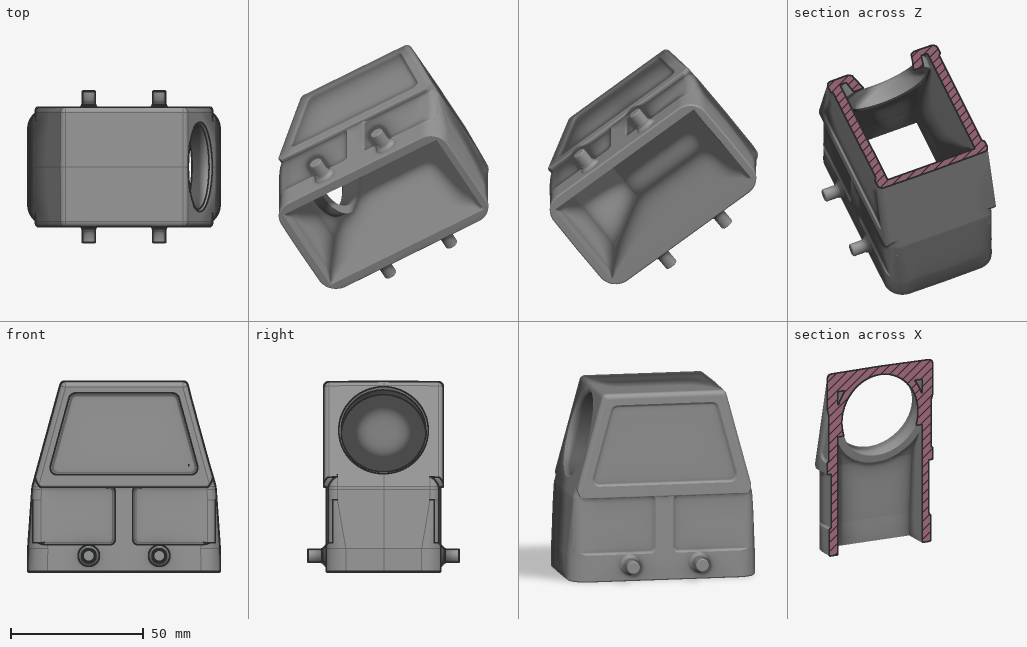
import cadquery as cq
import math

TOTAL_HEIGHT = 72.0
ROOF_HALF_X = 23.7
END_SLOPE = math.radians(15.3)
HOOD_HALF_Y = 22.5
HOOD_BOTTOM_Z = 31.9
DRAFT_DEG = 0.5
HOOD_FILLET = 2.0
HOOD_RIM_FILLET = 0.5

NOTCH_START_X = 31.2
NOTCH_TOP_Z = 36.4
NOTCH_MID = (32.75, 33.9)

BASE_HALF_X = 36.3
BAND_TOP_HALF_X = 36.2
BASE_HALF_Y = 21.6
BAND_Z = 9.2
BASE_CHAMFER = 0.5
BASE_FLAT_Y = 14.3
NECK_FLAT_Y = 17.4
NECK_Z = 27.4
BEND_LOW_Z = 31.4
BEND_HIGH_Z = 32.4
BEND_LOW_HALF_X = 34.65
NECK_OVERLAP = 0.3

PANEL_DEPTH = 0.8
CORE_HALF_Y = BASE_HALF_Y - PANEL_DEPTH
PILLAR_HALF_X = 3.3
PANEL_BOTTOM_Z = 10.35
SILL_Z = PANEL_BOTTOM_Z + PANEL_DEPTH
PANEL_CORNER = 2.2
PANEL_OUTER_X = BASE_HALF_X + 5.0
CORNER_CUT_X = 30.0
CORNER_CUT_Y = 19.1

LABEL_TOP_Z = 67.6
LABEL_BOTTOM_Z = 36.7
LABEL_TOP_HALF_X = 20.2
LABEL_DEPTH = 0.8
LABEL_CORNER = 2.8

FIELD_FLOOR_FILLET = 0.6

PIN_X = 13.25
PIN_Z = 6.3
PIN_RADIUS = 2.45
PIN_TIP_Y = 28.6
PIN_CHAMFER = 0.3
PIN_FOOT_RADIUS = 4.0
PIN_COLLAR_RADIUS = 2.7
PIN_CONE_TOP_Y = 22.9
PIN_COLLAR_TOP_Y = 23.3

ENTRY_X = 28.75
ENTRY_DIAMETER = 32.0
ENTRY_CHAMFER = 1.0
ENTRY_DEPTH = 7.7
ENTRY_BOSS_DIAMETER = 38.0

WALL = 3.0
OVERLAP = 1.0


def slope_half_x(z):
    """Half length of the hood at height z, measured at the parting plane."""
    return ROOF_HALF_X + (TOTAL_HEIGHT - z) * math.tan(END_SLOPE)


def skirt_end_half_x(z):
    """Half length of the skirt between the base band and the bend."""
    rise = (z - BAND_Z) / (BEND_LOW_Z - BAND_Z)
    return BAND_TOP_HALF_X + rise * (BEND_LOW_HALF_X - BAND_TOP_HALF_X)


def skirt_wire(z, half_x, half_y, flat_y):
    """Rounded rectangle at height z; its end lines are bent slightly at Y = 0."""
    radius = half_y - flat_y
    draft = flat_y * math.tan(math.radians(DRAFT_DEG)) / math.cos(END_SLOPE)
    end_x = half_x - draft
    side_x = end_x - radius
    diagonal = radius * math.sqrt(0.5)
    mid_x = side_x + diagonal
    mid_y = flat_y + diagonal
    outline = (
        cq.Workplane("XY", origin=(0, 0, z))
        .moveTo(half_x, 0)
        .lineTo(end_x, flat_y)
        .threePointArc((mid_x, mid_y), (side_x, half_y))
        .lineTo(-side_x, half_y)
        .threePointArc((-mid_x, mid_y), (-end_x, flat_y))
        .lineTo(-half_x, 0)
        .lineTo(-end_x, -flat_y)
        .threePointArc((-mid_x, -mid_y), (-side_x, -half_y))
        .lineTo(side_x, -half_y)
        .threePointArc((mid_x, -mid_y), (end_x, -flat_y))
        .close()
    )
    return outline.val()


def ruled_skirt(*sections):
    """Straight-ruled solid through (z, half_x, half_y, flat_y) sections."""
    wires = [skirt_wire(*section) for section in sections]
    return cq.Workplane(cq.Solid.makeLoft(wires, True))


def mirror_x(solid):
    return solid.union(solid.mirror("YZ"))


def mirror_y(solid):
    return solid.union(solid.mirror("XZ"))


def make_hood():
    """Drafted trapezoid block, built as its -Y half and mirrored."""
    bottom_half_x = slope_half_x(HOOD_BOTTOM_Z)
    outline = [
        (-bottom_half_x, HOOD_BOTTOM_Z),
        (bottom_half_x, HOOD_BOTTOM_Z),
        (ROOF_HALF_X, TOTAL_HEIGHT),
        (-ROOF_HALF_X, TOTAL_HEIGHT),
    ]
    half = cq.Workplane("XZ").polyline(outline).close().extrude(HOOD_HALF_Y, taper=DRAFT_DEG)
    above_bottom = cq.selectors.BoxSelector(
        (-BASE_HALF_X, -PIN_TIP_Y, HOOD_BOTTOM_Z + OVERLAP),
        (BASE_HALF_X, -OVERLAP, TOTAL_HEIGHT + OVERLAP),
    )
    half = half.edges(above_bottom).fillet(HOOD_FILLET)
    half = half.faces("<Z").edges("<Y").fillet(HOOD_RIM_FILLET)
    return mirror_y(half)


def make_notch():
    """Cutter for the curved underside of the hood's +X corners."""
    notch_end_x = slope_half_x(NOTCH_TOP_Z)
    below_z = HOOD_BOTTOM_Z - OVERLAP
    return (
        cq.Workplane("XZ")
        .moveTo(NOTCH_START_X, below_z)
        .lineTo(NOTCH_START_X, HOOD_BOTTOM_Z)
        .threePointArc(NOTCH_MID, (notch_end_x, NOTCH_TOP_Z))
        .lineTo(PANEL_OUTER_X, NOTCH_TOP_Z)
        .lineTo(PANEL_OUTER_X, below_z)
        .close()
        .extrude(HOOD_HALF_Y + OVERLAP, both=True)
    )


def sunken_field(points, depth, corner, face_y):
    """Cutter on the -Y side: rounded outline at face_y, walls sloping in at 45 degrees to a filleted floor."""
    blank = cq.Workplane("XZ").polyline(points).close().extrude(depth)
    outline = blank.edges("|Y").fillet(corner).faces("<Y").wires().val()
    inward = cq.Workplane(cq.Plane(origin=(0, -face_y, 0), xDir=(1, 0, 0), normal=(0, 1, 0)))
    outline = outline.translate(cq.Vector(0, depth - face_y, 0))
    field = inward.add(outline).toPending().extrude(depth, taper=45)
    return field.faces(">Y").edges().fillet(FIELD_FLOOR_FILLET)


def make_label_fields():
    label_bottom_half_x = LABEL_TOP_HALF_X + (LABEL_TOP_Z - LABEL_BOTTOM_Z) * math.tan(END_SLOPE)
    outline = [
        (-label_bottom_half_x, LABEL_BOTTOM_Z),
        (label_bottom_half_x, LABEL_BOTTOM_Z),
        (LABEL_TOP_HALF_X, LABEL_TOP_Z),
        (-LABEL_TOP_HALF_X, LABEL_TOP_Z),
    ]
    return mirror_y(sunken_field(outline, LABEL_DEPTH, LABEL_CORNER, HOOD_HALF_Y))


def make_panels():
    outline = [
        (PILLAR_HALF_X, PANEL_BOTTOM_Z),
        (PANEL_OUTER_X, PANEL_BOTTOM_Z),
        (PANEL_OUTER_X, HOOD_BOTTOM_Z + PANEL_DEPTH),
        (PILLAR_HALF_X, HOOD_BOTTOM_Z + PANEL_DEPTH),
    ]
    return mirror_x(mirror_y(sunken_field(outline, PANEL_DEPTH, PANEL_CORNER, BASE_HALF_Y)))


def make_corner_cuts():
    """Cutters that clear the corners above the sill for the round columns."""
    size_x = PANEL_OUTER_X - CORNER_CUT_X
    size_y = HOOD_HALF_Y - CORNER_CUT_Y
    cut = (
        cq.Workplane("XY")
        .box(size_x, size_y, NECK_Z - SILL_Z, centered=False)
        .translate((CORNER_CUT_X, CORNER_CUT_Y, SILL_Z))
    )
    return mirror_x(mirror_y(cut))


def make_base():
    """Base band, panel sill, centre pillar and the tapering corner blends."""
    base = ruled_skirt(
        (0, BASE_HALF_X - BASE_CHAMFER, BASE_HALF_Y - BASE_CHAMFER, BASE_FLAT_Y),
        (BASE_CHAMFER, BASE_HALF_X, BASE_HALF_Y, BASE_FLAT_Y),
        (BAND_Z, BAND_TOP_HALF_X, BASE_HALF_Y, BASE_FLAT_Y),
    )
    blend = ruled_skirt(
        (BAND_Z, BAND_TOP_HALF_X, BASE_HALF_Y, BASE_FLAT_Y),
        (NECK_Z, skirt_end_half_x(NECK_Z), BASE_HALF_Y, NECK_FLAT_Y),
    )
    pillar_top_z = HOOD_BOTTOM_Z + OVERLAP
    pillar = (
        cq.Workplane("XY", origin=(0, 0, BAND_Z))
        .rect(2 * (PILLAR_HALF_X + PANEL_DEPTH + PANEL_CORNER), 2 * BASE_HALF_Y)
        .extrude(pillar_top_z - BAND_Z)
    )
    proud = blend.union(pillar).cut(make_panels()).cut(make_corner_cuts())
    return base.union(proud)


def make_panel_block():
    """Upright block with round corner columns; its sides are the panel floors."""
    draft = NECK_FLAT_Y * math.tan(math.radians(DRAFT_DEG)) / math.cos(END_SLOPE)
    half_x = skirt_end_half_x(NECK_Z) - draft
    return (
        cq.Workplane("XY", origin=(0, 0, SILL_Z))
        .rect(2 * half_x, 2 * CORE_HALF_Y)
        .extrude(NECK_Z - SILL_Z)
        .edges("|Z")
        .fillet(CORE_HALF_Y - NECK_FLAT_Y)
    )


def make_neck():
    """Top of the skirt, bending into the slope of the hood and reaching up into it."""
    top_z = NOTCH_TOP_Z + NECK_OVERLAP
    return ruled_skirt(
        (NECK_Z, skirt_end_half_x(NECK_Z), CORE_HALF_Y, NECK_FLAT_Y),
        (BEND_LOW_Z, BEND_LOW_HALF_X, CORE_HALF_Y, NECK_FLAT_Y),
        (BEND_HIGH_Z, slope_half_x(BEND_HIGH_Z), CORE_HALF_Y, NECK_FLAT_Y),
        (top_z, slope_half_x(top_z), CORE_HALF_Y, NECK_FLAT_Y),
    )


def make_pins():
    profile = [
        (0, CORE_HALF_Y),
        (PIN_FOOT_RADIUS, CORE_HALF_Y),
        (PIN_FOOT_RADIUS, BASE_HALF_Y),
        (PIN_COLLAR_RADIUS, PIN_CONE_TOP_Y),
        (PIN_COLLAR_RADIUS, PIN_COLLAR_TOP_Y),
        (PIN_RADIUS, PIN_COLLAR_TOP_Y),
        (PIN_RADIUS, PIN_TIP_Y - PIN_CHAMFER),
        (PIN_RADIUS - PIN_CHAMFER, PIN_TIP_Y),
        (0, PIN_TIP_Y),
    ]
    pin = cq.Workplane("XY").polyline(profile).close().revolve(360, (0, 0, 0), (0, 1, 0))
    return mirror_x(mirror_y(pin.translate((PIN_X, 0, PIN_Z))))


def make_cavity():
    """Inside of the shell, open at the bottom."""
    side_gap = WALL / math.cos(END_SLOPE)
    roof_z = TOTAL_HEIGHT - WALL
    outline = [
        (BASE_HALF_X - WALL, 0),
        (skirt_end_half_x(BAND_Z) - WALL, BAND_Z),
        (slope_half_x(BEND_HIGH_Z) - side_gap, BEND_HIGH_Z),
        (slope_half_x(roof_z) - side_gap, roof_z),
    ]
    mirrored = [(-x, z) for x, z in reversed(outline)]
    return (
        cq.Workplane("XZ")
        .polyline(outline + mirrored)
        .close()
        .extrude(CORE_HALF_Y - WALL, both=True)
    )


def entry_plane():
    """Sketch plane on the +X slope, looking along the cable entry's axis into the hood."""
    entry_z = TOTAL_HEIGHT - (ENTRY_X - ROOF_HALF_X) / math.tan(END_SLOPE)
    inward = (-math.cos(END_SLOPE), 0, -math.sin(END_SLOPE))
    return cq.Workplane(cq.Plane(origin=(ENTRY_X, 0, entry_z), xDir=(0, 1, 0), normal=inward))


def make_entry_boss():
    """Ring inside the hood that thickens the wall around the cable entry."""
    start = WALL / 2
    return (
        entry_plane()
        .workplane(offset=start)
        .circle(ENTRY_BOSS_DIAMETER / 2)
        .extrude(ENTRY_DEPTH - start)
    )


def make_entry_bore():
    bore = entry_plane().workplane(offset=-OVERLAP).circle(ENTRY_DIAMETER / 2)
    bore = bore.extrude(ENTRY_DEPTH + 2 * OVERLAP)
    mouth_radius = ENTRY_DIAMETER / 2 + ENTRY_CHAMFER
    mouth = entry_plane().circle(mouth_radius).extrude(ENTRY_CHAMFER, taper=45)
    return bore.union(mouth)


notches = mirror_x(make_notch())
hood = make_hood().cut(notches).cut(make_label_fields())
body = hood.union(make_neck()).union(make_panel_block()).union(make_base())
shell = body.cut(make_cavity()).union(make_pins())
result = shell.union(make_entry_boss()).cut(make_entry_bore())